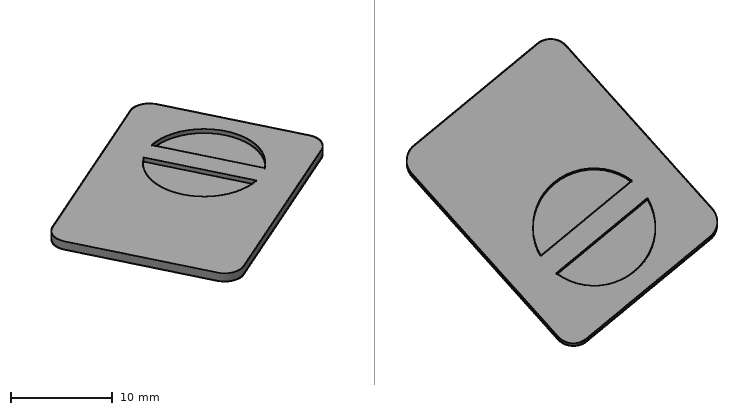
import cadquery as cq

plate_width = 20.0
plate_length = 26.0
plate_thickness = 1.0
corner_radius = 2.0

symbol_radius = 6.0
symbol_center_y = 4.84
bar_width = 2.35
recess_depth = 0.5

plate = (
    cq.Workplane("XY")
    .box(plate_width, plate_length, plate_thickness, centered=(True, True, False))
    .edges("|Z")
    .fillet(corner_radius)
)


def symbol_recess():
    """Two circle segments, cut down from the top face."""
    floor = cq.Workplane("XY", origin=(0, symbol_center_y, plate_thickness - recess_depth))
    disc = floor.circle(symbol_radius).extrude(recess_depth)
    bar = floor.rect(2 * symbol_radius, bar_width).extrude(recess_depth)
    return disc.cut(bar)


result = plate.cut(symbol_recess())